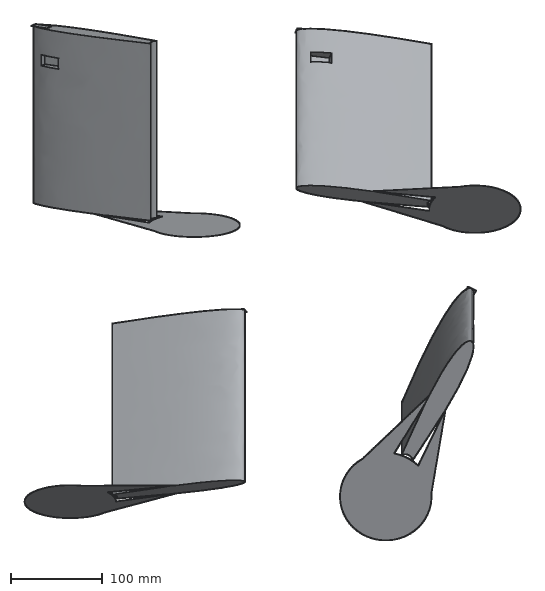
import cadquery as cq
import math

wing_height = 200.0
tail_x = 150.0
tail_half_thickness = 6.7
tail_hollow_depth = 3.2
flank_control_points = [(0, 3.7), (6.7, 19.5), (92.7, 13.7), (145.5, 6.0)]

sheet_thickness = 0.2

disc_diameter = 100.0
disc_radius = disc_diameter / 2
disc_x = tail_x + disc_radius
arm_outer_x = 173.5
arm_tip_half_width = 10.0
rear_arm_tip_x = 70.2
front_arm_tip_x = 77.5

window_tip_x = 82.5
window_tip_half_width = 11.2
window_end_half_width = 14.7

label_length = 20.0
label_width = 10.0
label_center_y = -0.7

pocket_x = 14.5
pocket_length = 22.5
pocket_height = 12.2
pocket_bottom_z = 157.7
pocket_mouth_y = -12.5
pocket_floor_y = -0.7


def make_wing():
    rear_flank = [(0, 0)] + flank_control_points + [(tail_x, tail_half_thickness)]
    front_flank = [(x, -y) for x, y in reversed(rear_flank)]
    section = (
        cq.Workplane("XY")
        .bezier(rear_flank)
        .threePointArc((tail_x - tail_hollow_depth, 0), front_flank[0])
        .bezier(front_flank[1:], includeCurrent=True)
    )
    return section.close().extrude(wing_height)


def make_base_plate():
    disc = cq.Workplane("XY").center(disc_x, 0).circle(disc_radius).extrude(sheet_thickness)
    arm_outer_y = math.sqrt(disc_radius**2 - (disc_x - arm_outer_x) ** 2)
    arms = (
        cq.Workplane("XY")
        .polyline([
            (rear_arm_tip_x, arm_tip_half_width),
            (arm_outer_x, arm_outer_y),
            (arm_outer_x, -arm_outer_y),
            (front_arm_tip_x, -arm_tip_half_width),
        ])
        .close()
        .extrude(sheet_thickness)
    )
    window_end_x = disc_x - math.sqrt(disc_radius**2 - window_end_half_width**2)
    window = (
        cq.Workplane("XY")
        .polyline([
            (window_tip_x, window_tip_half_width),
            (window_end_x, window_end_half_width),
            (window_end_x, -window_end_half_width),
            (window_tip_x, -window_tip_half_width),
        ])
        .close()
        .extrude(sheet_thickness)
    )
    return arms.cut(window).union(disc)


def make_label():
    return (
        cq.Workplane("XY", origin=(label_length / 2, label_center_y, wing_height))
        .rect(label_length, label_width)
        .extrude(sheet_thickness)
    )


def make_pocket():
    pocket_depth = pocket_floor_y - pocket_mouth_y
    return cq.Workplane("XY").box(
        pocket_length, pocket_depth, pocket_height, centered=False
    ).translate((pocket_x, pocket_mouth_y, pocket_bottom_z))


result = make_wing().cut(make_pocket()).union(make_base_plate()).union(make_label())